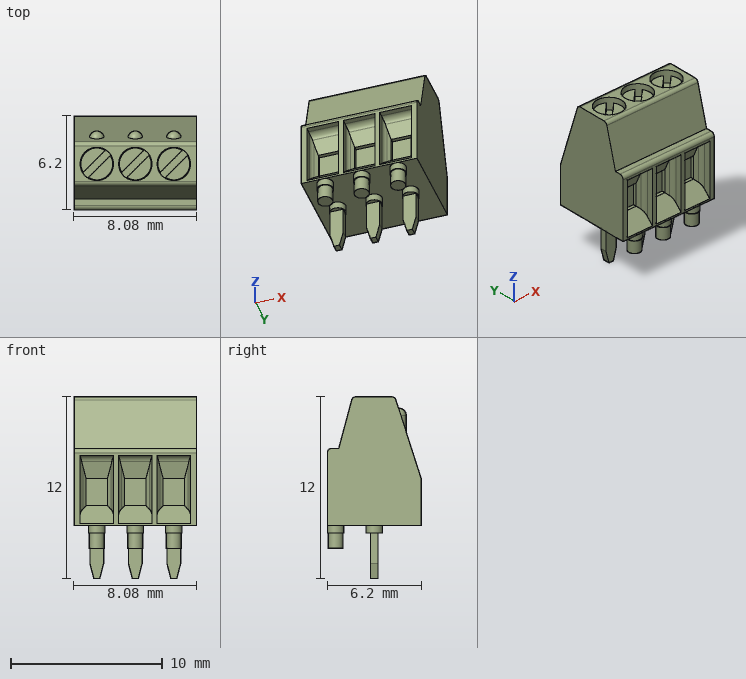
import cadquery as cq
import math


POLES = 3
PITCH = 2.54

HOUSING_WIDTH = 8.08
HOUSING_DEPTH = 6.2
HOUSING_HEIGHT = 8.5
FRONT_Y = -HOUSING_DEPTH / 2
BACK_Y = HOUSING_DEPTH / 2
STEP_HEIGHT = 5.1
STEP_LENGTH = 0.75
FRONT_LEAN = math.radians(15)
BACK_WALL_HEIGHT = 3.1
BACK_TOP_Y = 1.36
EDGE_RADIUS = 0.3

OPENING_WIDTH = 2.2
OPENING_BOTTOM = 0.15
OPENING_TOP = 4.61
THROAT_WIDTH = 1.4
THROAT_BOTTOM = 1.31
THROAT_TOP = 3.1
THROAT_LENGTH = 0.26
SIDE_WALL_LEAN = math.radians(45)
CEILING_RADIUS = 0.5
SIDE_WALL_RADIUS = 0.6

SCREW_Y = -0.05
SCREW_HOLE_RADIUS = 1.1
SCREW_RADIUS = 1.05
SCREW_RECESS = 0.4
SLOT_WIDTH = 0.48
SLOT_DEPTH = 0.6
SLOT_ANGLE = 45

STUD_Y = 1.62
STUD_RADIUS = 0.5
STUD_SHOULDER_Z = 7.25
STUD_BASE_Z = 5.0

COLLAR_RADIUS = 0.55
COLLAR_HEIGHT = 0.5
PIN_WIDTH = 0.92
PIN_TIP_WIDTH = 0.4
PIN_THICKNESS = 0.52
PIN_LENGTH = 3.5
PIN_TAPER_LENGTH = 1.0
PEG_RADIUS = 0.5
PEG_LENGTH = 1.5
PEG_Y = FRONT_Y + COLLAR_RADIUS


def make_housing():
    """Stepped, tapering profile extruded along X, with three rounded long edges."""
    step_back_y = FRONT_Y + STEP_LENGTH
    front_top_y = step_back_y + (HOUSING_HEIGHT - STEP_HEIGHT) * math.tan(FRONT_LEAN)
    housing = (
        cq.Workplane("YZ")
        .moveTo(FRONT_Y, 0)
        .lineTo(FRONT_Y, STEP_HEIGHT)
        .lineTo(step_back_y, STEP_HEIGHT)
        .lineTo(front_top_y, HOUSING_HEIGHT)
        .lineTo(BACK_TOP_Y, HOUSING_HEIGHT)
        .lineTo(BACK_Y, BACK_WALL_HEIGHT)
        .lineTo(BACK_Y, 0)
        .close()
        .extrude(HOUSING_WIDTH / 2, both=True)
    )
    step_edge = cq.selectors.NearestToPointSelector((0, FRONT_Y, STEP_HEIGHT))
    return housing.edges("|X and >Z").fillet(EDGE_RADIUS).edges(step_edge).fillet(EDGE_RADIUS)


def make_wire_opening():
    """Funnel-shaped cavity: the overlap of its side profile and its plan profile."""
    throat_y = FRONT_Y + THROAT_BOTTOM - OPENING_BOTTOM
    end_y = throat_y + THROAT_LENGTH
    ceiling_bend_y = throat_y - (OPENING_TOP - THROAT_TOP) * math.tan(FRONT_LEAN)
    half_width = OPENING_WIDTH / 2
    half_throat = THROAT_WIDTH / 2
    side_bend_y = throat_y - (half_width - half_throat) / math.tan(SIDE_WALL_LEAN)

    ceiling_bend = cq.selectors.NearestToPointSelector((0, ceiling_bend_y, OPENING_TOP))
    side_profile = (
        cq.Workplane("YZ")
        .moveTo(FRONT_Y, OPENING_BOTTOM)
        .lineTo(throat_y, THROAT_BOTTOM)
        .lineTo(end_y, THROAT_BOTTOM)
        .lineTo(end_y, THROAT_TOP)
        .lineTo(throat_y, THROAT_TOP)
        .lineTo(ceiling_bend_y, OPENING_TOP)
        .lineTo(FRONT_Y, OPENING_TOP)
        .close()
        .extrude(half_width, both=True)
        .edges(ceiling_bend)
        .fillet(CEILING_RADIUS)
    )

    plan_profile = (
        cq.Workplane("XY")
        .moveTo(half_width, FRONT_Y)
        .lineTo(half_width, side_bend_y)
        .lineTo(half_throat, throat_y)
        .lineTo(half_throat, end_y)
        .lineTo(-half_throat, end_y)
        .lineTo(-half_throat, throat_y)
        .lineTo(-half_width, side_bend_y)
        .lineTo(-half_width, FRONT_Y)
        .close()
        .extrude(OPENING_TOP)
    )
    for bend_x in (-half_width, half_width):
        side_bend = cq.selectors.NearestToPointSelector((bend_x, side_bend_y, OPENING_TOP / 2))
        plan_profile = plan_profile.edges(side_bend).fillet(SIDE_WALL_RADIUS)
    return side_profile.intersect(plan_profile)


def make_screw_hole():
    """Material removed around, above and across one slotted screw head."""
    screw_top_z = HOUSING_HEIGHT - SCREW_RECESS
    slot_floor_z = screw_top_z - SLOT_DEPTH
    hole = (
        cq.Workplane("XY", origin=(0, SCREW_Y, slot_floor_z))
        .circle(SCREW_HOLE_RADIUS)
        .extrude(HOUSING_HEIGHT - slot_floor_z)
    )
    screw_head = (
        cq.Workplane("XY", origin=(0, SCREW_Y, slot_floor_z))
        .circle(SCREW_RADIUS)
        .extrude(SLOT_DEPTH)
    )
    slot = (
        cq.Workplane("XY", origin=(0, SCREW_Y, slot_floor_z))
        .transformed(rotate=(0, 0, SLOT_ANGLE))
        .rect(2 * SCREW_HOLE_RADIUS, SLOT_WIDTH)
        .extrude(SLOT_DEPTH)
    )
    return hole.cut(screw_head.cut(slot))


def make_stud():
    """Upright cylinder with a hemispherical top, half sunk in the sloping back."""
    shaft = (
        cq.Workplane("XY", origin=(0, STUD_Y, STUD_BASE_Z))
        .circle(STUD_RADIUS)
        .extrude(STUD_SHOULDER_Z - STUD_BASE_Z)
    )
    dome = cq.Workplane("XY", origin=(0, STUD_Y, STUD_SHOULDER_Z)).sphere(STUD_RADIUS)
    return shaft.union(dome)


def make_collar(y):
    """Short round collar below the housing."""
    return cq.Workplane("XY", origin=(0, y, 0)).circle(COLLAR_RADIUS).extrude(-COLLAR_HEIGHT)


def make_pin():
    """Flat solder pin with a tapered tip, below its collar."""
    taper_z = PIN_TAPER_LENGTH - PIN_LENGTH
    blade = (
        cq.Workplane("XZ")
        .moveTo(-PIN_WIDTH / 2, 0)
        .lineTo(PIN_WIDTH / 2, 0)
        .lineTo(PIN_WIDTH / 2, taper_z)
        .lineTo(PIN_TIP_WIDTH / 2, -PIN_LENGTH)
        .lineTo(-PIN_TIP_WIDTH / 2, -PIN_LENGTH)
        .lineTo(-PIN_WIDTH / 2, taper_z)
        .close()
        .extrude(PIN_THICKNESS / 2, both=True)
    )
    return make_collar(0).union(blade)


def make_peg():
    """Round locating peg below its collar, flush with the housing front."""
    peg = cq.Workplane("XY", origin=(0, PEG_Y, 0)).circle(PEG_RADIUS).extrude(-PEG_LENGTH)
    return make_collar(PEG_Y).union(peg)


additions = make_stud().union(make_pin()).union(make_peg())
openings = (make_wire_opening(), make_screw_hole())

result = make_housing()
for pole in range(POLES):
    pole_position = ((pole - (POLES - 1) / 2) * PITCH, 0, 0)
    result = result.union(additions.translate(pole_position))
    for opening in openings:
        result = result.cut(opening.translate(pole_position))